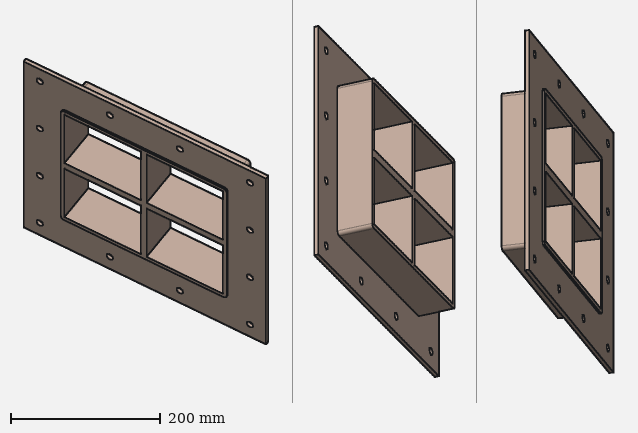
import cadquery as cq

plate_width = 383.0
plate_height = 346.0
plate_thickness = 6.0

frame_width = 262.0
frame_height = 226.5
frame_depth = 60.0
frame_corner_radius = 5.5
front_lip = 2.5

window_width = 120.5
window_height = 100.7
vertical_bar_width = 9.2
horizontal_bar_height = 12.0
window_pitch_x = window_width + vertical_bar_width
window_pitch_z = window_height + horizontal_bar_height

hole_diameter = 10.0
hole_pitch_x = 110.5
hole_pitch_z = 98.5
holes_per_side = 4


def make_block(width, height, front_y, depth):
    """Block centred in X and Z, running toward +Y from front_y."""
    return (
        cq.Workplane("XZ", origin=(0, front_y, 0))
        .rect(width, height)
        .extrude(-depth)
    )


def border_hole_centers():
    """Centers on the outer ring of an evenly spaced square grid of holes."""
    last = holes_per_side - 1
    centers = []
    for column in range(holes_per_side):
        for row in range(holes_per_side):
            if column in (0, last) or row in (0, last):
                x = (column - last / 2) * hole_pitch_x
                z = (row - last / 2) * hole_pitch_z
                centers.append((x, z))
    return centers


plate = make_block(plate_width, plate_height, front_lip, plate_thickness)
frame = make_block(frame_width, frame_height, 0, frame_depth)
frame = frame.edges("|Y").fillet(frame_corner_radius)

windows = (
    cq.Workplane("XZ")
    .rarray(window_pitch_x, window_pitch_z, 2, 2)
    .rect(window_width, window_height)
    .extrude(-frame_depth)
)

mounting_holes = (
    cq.Workplane("XZ")
    .pushPoints(border_hole_centers())
    .circle(hole_diameter / 2)
    .extrude(-frame_depth)
)

result = plate.union(frame).cut(windows).cut(mounting_holes)